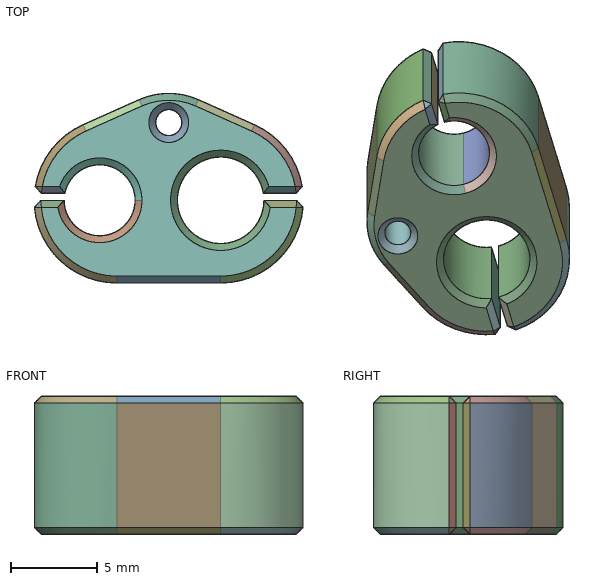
import cadquery as cq
import math

height = 8.0
side_radius = 4.8
side_offset = 3.0
crown_radius = 4.2
crown_center_y = 2.0

small_bore = (-4.0, 0, 4.1)
large_bore = (side_offset, 0, 5.0)
pin_hole = (0, 4.5, 1.5)

slot_width = 0.4
edge_chamfer = 0.4


def arc_point(center_x, center_y, radius, angle):
    """Point on an arc, with the angle in radians from +X."""
    return center_x + radius * math.cos(angle), center_y + radius * math.sin(angle)


def mirrored(point):
    return -point[0], point[1]


def make_body():
    center_distance = math.hypot(side_offset, crown_center_y)
    center_line_angle = math.atan2(crown_center_y, -side_offset)
    radius_ratio = (side_radius - crown_radius) / center_distance
    flank_angle = center_line_angle - math.acos(radius_ratio)

    side_tangent = arc_point(side_offset, 0, side_radius, flank_angle)
    crown_tangent = arc_point(0, crown_center_y, crown_radius, flank_angle)
    side_middle = arc_point(side_offset, 0, side_radius, 0)
    side_bottom = (side_offset, -side_radius)
    crown_top = (0, crown_center_y + crown_radius)

    return (
        cq.Workplane("XY")
        .moveTo(*side_bottom)
        .threePointArc(side_middle, side_tangent)
        .lineTo(*crown_tangent)
        .threePointArc(crown_top, mirrored(crown_tangent))
        .lineTo(*mirrored(side_tangent))
        .threePointArc(mirrored(side_middle), mirrored(side_bottom))
        .close()
        .extrude(height)
    )


def bore(x, y, diameter):
    return cq.Workplane("XY").center(x, y).circle(diameter / 2).extrude(height)


def wall_slot(bore_x, direction):
    """Slot from a bore axis out through the nearest wall; direction is +1 or -1 along X."""
    length = side_offset + side_radius
    return (
        cq.Workplane("XY")
        .center(bore_x + direction * length / 2, slot_width / 2)
        .rect(length, slot_width)
        .extrude(height)
    )


def outer_lip_edges(body):
    """Vertical edges where the slot faces meet the outer wall."""
    reach = side_offset + side_radius
    lip_boxes = [
        cq.selectors.BoxSelector(
            (side * (reach - edge_chamfer), -slot_width, 0),
            (side * (reach + edge_chamfer), 2 * slot_width, height),
        )
        for side in (-1, 1)
    ]
    vertical = cq.selectors.ParallelDirSelector(cq.Vector(0, 0, 1))
    return body.edges((lip_boxes[0] + lip_boxes[1]) & vertical)


part = make_body()
for hole in (small_bore, large_bore, pin_hole):
    part = part.cut(bore(*hole))
part = part.cut(wall_slot(small_bore[0], -1))
part = part.cut(wall_slot(large_bore[0], 1))

end_edges = part.faces("|Z").edges()
result = end_edges.add(outer_lip_edges(part)).chamfer(edge_chamfer)